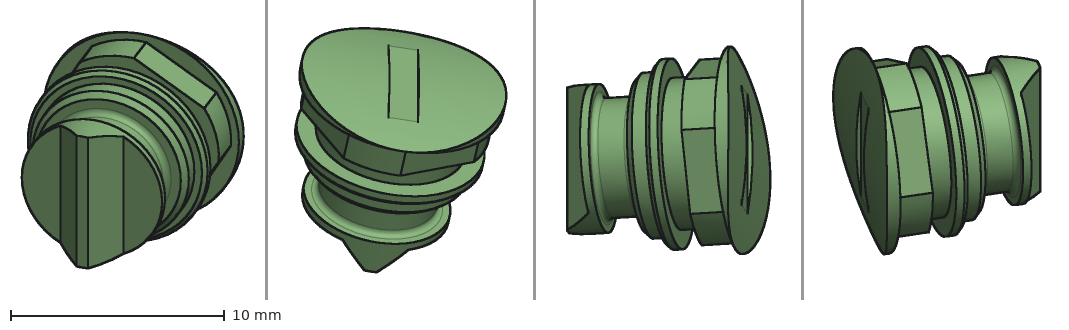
import cadquery as cq

total_length = 8.67
dome_height = 0.66
square_length = 1.67
groove_length = 1.14
collar_length = 0.6
shoulder_length = 1.04
neck_length = 1.85
tip_disc_length = 0.41

head_diameter = 9.75
collar_diameter = 8.97
groove_diameter = 7.15
shoulder_diameter = 7.8
neck_diameter = 5.65
tip_diameter = 7.0

collar_chamfer = 0.2
shoulder_chamfer = 0.29
neck_fillet = 0.3
across_flats = 8.0
square_rotation = 30
slot_width = 1.4
slot_depth = 0.23
ridge_tip_width = 0.58

square_start = dome_height
groove_start = square_start + square_length
collar_start = groove_start + groove_length
shoulder_start = collar_start + collar_length
neck_start = shoulder_start + shoulder_length
tip_start = neck_start + neck_length
ridge_start = tip_start + tip_disc_length
ridge_height = total_length - ridge_start


def cylinder(diameter, start, length):
    """Cylinder on the Y axis, running toward -Y from its start station."""
    return cq.Workplane("XZ", origin=(0, -start, 0)).circle(diameter / 2).extrude(length)


def make_head():
    """Round head whose back is a cylindrical dome curved about X, with a slot along Z."""
    radius = head_diameter / 2
    dome = (
        cq.Workplane("YZ")
        .moveTo(-dome_height, -radius)
        .threePointArc((0, 0), (-dome_height, radius))
        .close()
        .extrude(radius, both=True)
    )
    slot = cq.Workplane("XY").box(slot_width, 2 * slot_depth, head_diameter)
    return cylinder(head_diameter, 0, dome_height).intersect(dome).cut(slot)


def make_square():
    """Turned square with its four corners rounded to the collar diameter."""
    square = (
        cq.Workplane("XZ", origin=(0, -square_start, 0))
        .rect(across_flats, across_flats)
        .extrude(square_length)
        .rotate((0, 0, 0), (0, 1, 0), square_rotation)
    )
    return cylinder(collar_diameter, square_start, square_length).intersect(square)


def make_neck():
    """Neck with a concave fillet at the shoulder and at the tip disc."""
    radius = neck_diameter / 2
    fillet_radius = radius + neck_fillet
    diagonal = neck_fillet * (1 - 0.5 ** 0.5)
    return (
        cq.Workplane("XY")
        .moveTo(0, -neck_start)
        .lineTo(fillet_radius, -neck_start)
        .threePointArc((radius + diagonal, -neck_start - diagonal), (radius, -neck_start - neck_fillet))
        .lineTo(radius, -tip_start + neck_fillet)
        .threePointArc((radius + diagonal, -tip_start + diagonal), (fillet_radius, -tip_start))
        .lineTo(0, -tip_start)
        .close()
        .revolve(360, (0, 0, 0), (0, 1, 0))
    )


def make_ridge():
    """Ridge along Z with 45 degree flanks, its ends trimmed to the tip disc."""
    tip_half = ridge_tip_width / 2
    base_half = tip_half + ridge_height
    prism = (
        cq.Workplane("XY")
        .polyline([
            (-base_half, -ridge_start),
            (-tip_half, -total_length),
            (tip_half, -total_length),
            (base_half, -ridge_start),
        ])
        .close()
        .extrude(tip_diameter / 2, both=True)
    )
    return cylinder(tip_diameter, ridge_start, ridge_height).intersect(prism)


groove = cylinder(groove_diameter, groove_start, groove_length)
collar = cylinder(collar_diameter, collar_start, collar_length).faces("<Y").chamfer(collar_chamfer)
shoulder = cylinder(shoulder_diameter, shoulder_start, shoulder_length).faces("<Y").chamfer(shoulder_chamfer)
tip_disc = cylinder(tip_diameter, tip_start, tip_disc_length)

result = make_head()
for section in (make_square(), groove, collar, shoulder, make_neck(), tip_disc, make_ridge()):
    result = result.union(section)